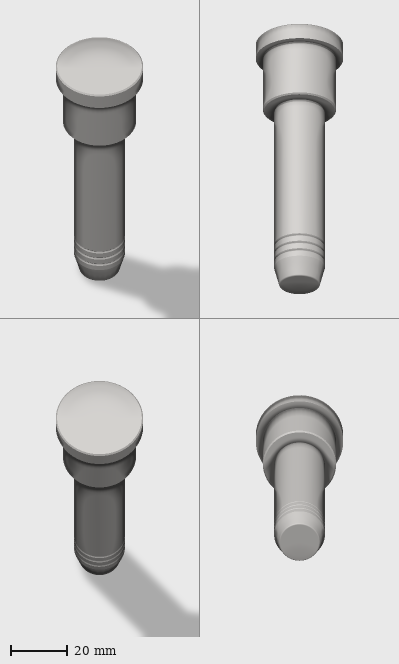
import cadquery as cq
import math

total_length = 97.0
head_radius = 15.5
head_height = 6.0
head_chamfer = 0.5
collar_radius = 13.0
collar_length = 21.0
collar_chamfer = 0.5
shank_radius = 9.0

head_relief_height = 0.8
head_relief_depth = 0.3
collar_relief_height = 1.0
collar_relief_depth = 0.3

groove_count = 3
groove_width = 1.0
groove_depth = 0.4
groove_pitch = 3.0
lowest_groove_bottom = 9.0

taper_length = 7.0
taper_angle = 15.0
tip_fillet = 0.5

head_bottom = total_length - head_height
collar_bottom = head_bottom - collar_length
tip_radius = shank_radius - taper_length * math.tan(math.radians(taper_angle))


def cylinder(radius, bottom, height):
    return cq.Workplane("XY").workplane(offset=bottom).circle(radius).extrude(height)


def ring_cutter(radius, depth, bottom, height):
    """Ring that removes the given depth from a cylinder of the given radius."""
    return cylinder(radius, bottom, height).cut(cylinder(radius - depth, bottom, height))


def groove_cutter(radius, depth, bottom, width):
    """Ring of triangular section that cuts one V groove into a cylinder."""
    section = (
        cq.Workplane("XZ")
        .moveTo(radius, bottom)
        .lineTo(radius - depth, bottom + width / 2)
        .lineTo(radius, bottom + width)
        .close()
    )
    return section.revolve(360, (0, 0, 0), (0, 1, 0))


def make_shank():
    profile = (
        cq.Workplane("XZ")
        .moveTo(0, 0)
        .lineTo(tip_radius, 0)
        .lineTo(shank_radius, taper_length)
        .lineTo(shank_radius, collar_bottom)
        .lineTo(0, collar_bottom)
        .close()
    )
    shank = profile.revolve(360, (0, 0, 0), (0, 1, 0)).faces("<Z").edges().fillet(tip_fillet)
    for index in range(groove_count):
        bottom = lowest_groove_bottom + index * groove_pitch
        shank = shank.cut(groove_cutter(shank_radius, groove_depth, bottom, groove_width))
    relief_bottom = collar_bottom - collar_relief_height
    return shank.cut(
        ring_cutter(shank_radius, collar_relief_depth, relief_bottom, collar_relief_height)
    )


def make_collar():
    collar = cylinder(collar_radius, collar_bottom, collar_length)
    collar = collar.faces("<Z").edges().chamfer(collar_chamfer)
    relief_bottom = head_bottom - head_relief_height
    return collar.cut(
        groove_cutter(collar_radius, head_relief_depth, relief_bottom, head_relief_height)
    )


def make_head():
    head = cylinder(head_radius, head_bottom, head_height)
    return head.faces(">Z").edges().chamfer(head_chamfer)


result = make_shank().union(make_collar()).union(make_head())